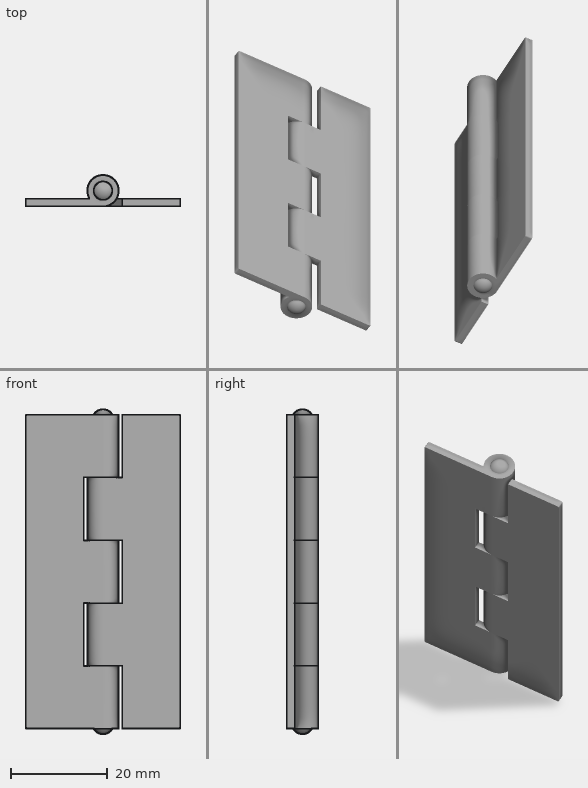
import cadquery as cq

total_height = 67.2
total_width = 32.0
barrel_diameter = 6.5
leaf_thickness = 1.6
pin_diameter = 3.8
dome_height = 1.15
knuckle_count = 5
knuckle_gap = 0.7
corner_radius = 0.35

leaf_height = total_height - 2 * dome_height
leaf_half_height = leaf_height / 2
knuckle_height = leaf_height / knuckle_count
barrel_radius = barrel_diameter / 2
pin_radius = pin_diameter / 2
leaf_width = total_width / 2
notch_reach = barrel_radius + knuckle_gap


def knuckle_bottom(index):
    return -leaf_half_height + index * knuckle_height


def make_plate(side):
    """Flat plate from the hinge axis to the outer edge, tangent to the barrel."""
    return (
        cq.Workplane("XY")
        .box(leaf_width, leaf_thickness, leaf_height)
        .translate((side * leaf_width / 2, -barrel_radius + leaf_thickness / 2, 0))
        .edges("|Y and " + (">X" if side > 0 else "<X"))
        .fillet(corner_radius)
    )


def make_notch(index):
    """Clearance for one knuckle of the opposite leaf."""
    return (
        cq.Workplane("XY", origin=(0, 0, knuckle_bottom(index)))
        .rect(2 * notch_reach, barrel_diameter)
        .extrude(knuckle_height)
    )


def make_barrel(index):
    return (
        cq.Workplane("XY", origin=(0, 0, knuckle_bottom(index)))
        .circle(barrel_radius)
        .extrude(knuckle_height)
    )


def make_leaf(side, first_knuckle):
    """Leaf on one side (-1 or +1) carrying every second knuckle."""
    leaf = make_plate(side)
    for index in range(knuckle_count):
        if index % 2 == first_knuckle:
            leaf = leaf.union(make_barrel(index))
        else:
            leaf = leaf.cut(make_notch(index))
    pin_bore = cq.Workplane("XY").circle(pin_radius).extrude(leaf_half_height, both=True)
    return leaf.cut(pin_bore)


def make_pin():
    """Round pin with a spherical dome on each end."""
    dome_radius = (pin_radius**2 + dome_height**2) / (2 * dome_height)
    tip = total_height / 2
    middle_z = leaf_half_height + dome_height / 2
    middle_x = (dome_radius**2 - (dome_radius - dome_height / 2) ** 2) ** 0.5
    return (
        cq.Workplane("XZ")
        .moveTo(0, -tip)
        .threePointArc((middle_x, -middle_z), (pin_radius, -leaf_half_height))
        .lineTo(pin_radius, leaf_half_height)
        .threePointArc((middle_x, middle_z), (0, tip))
        .close()
        .revolve(360, (0, 0, 0), (0, 1, 0))
    )


left_leaf = make_leaf(side=-1, first_knuckle=0)
right_leaf = make_leaf(side=1, first_knuckle=1)
pin = make_pin()

result = cq.Compound.makeCompound([left_leaf.solids().val(), right_leaf.solids().val(), pin.val()])